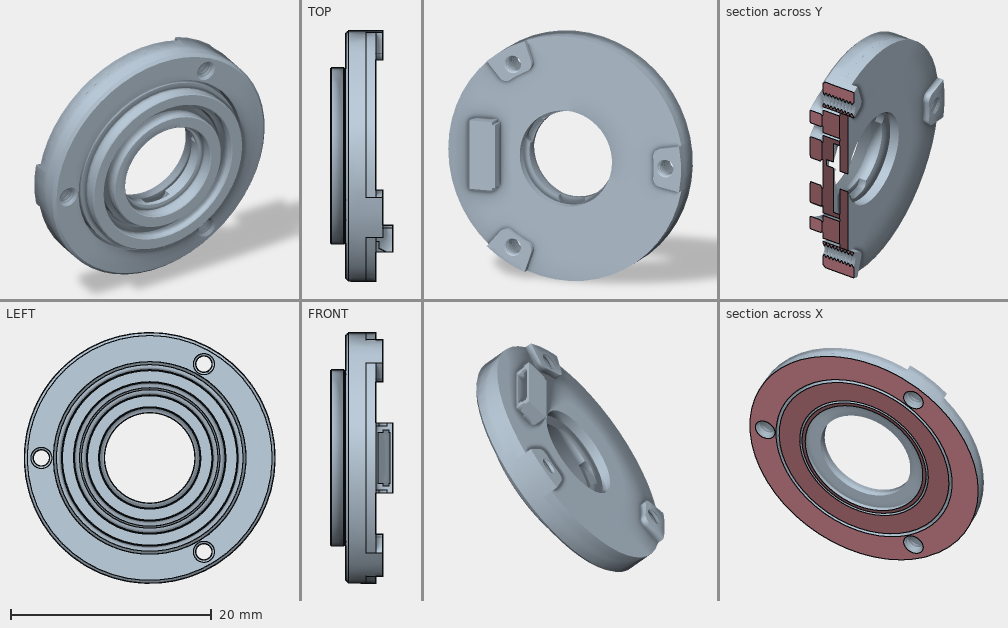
import cadquery as cq
import math

ring_front = 0.0
ring_back = 1.4
holder_front = 1.5
board_front = 3.5
board_back = 4.5
tab_back = 5.2
connector_back = 6.2

housing_radius = 12.5
housing_bore_radius = 9.6
housing_chamfer = 0.3
tab_angles = (0, 120, 240)
tab_half_angle = 10.7
tab_corner_radius = 0.8

thread_circle_radius = 10.8
thread_major_radius = 1.05
thread_minor_radius = 0.8
thread_pitch = 0.4
thread_crest_width = 0.08

ring_chamfer = 0.1
outer_ring_bore_radius = 7.5
outer_ring_radius = 8.8
inner_ring_bore_radius = 5.0
inner_ring_radius = 6.3
outer_holder_bore_radius = 7.0
outer_holder_radius = 9.3
inner_holder_bore_radius = 4.5
inner_holder_radius = 6.8

recess_front = 2.8
recess_radius = 6.4
notch_front = 2.0
notch_width = 2.85
notch_floor = 5.1
notch_corner_radius = 0.75
notch_angles = (30, 150, 270)

board_bore_radius = 4.9

connector_front_y = -9.6
connector_back_y = -6.9
connector_length = 7.0
connector_end_step = 0.3
connector_step_width = 0.3
side_cut_back_y = -8.55
side_cut_slope_y = -9.2
side_cut_inner_x = 4.8
side_cut_outer_x = 5.6
socket_depth = 2.0
socket_length = 5.1
socket_x = (4.72, 5.92)
socket_key_length = 5.55
socket_key_x = (5.2, 5.8)


def polar(radius, angle):
    """Point in the YZ plane, with the angle in degrees from +Y toward +Z."""
    return radius * math.cos(math.radians(angle)), radius * math.sin(math.radians(angle))


def tube(front, back, inner_radius, outer_radius):
    """Tube around the X axis, with its seam at +Z, clear of the tabs."""
    plane = cq.Plane(origin=(front, 0, 0), xDir=(0, 0, 1), normal=(1, 0, 0))
    return cq.Workplane(plane).circle(outer_radius).circle(inner_radius).extrude(back - front)


def box(x_range, y_range, length):
    """Box given by its X and Y ranges, centred on Z = 0."""
    return (
        cq.Workplane("XY", origin=(0, 0, -length / 2))
        .moveTo(x_range[0], y_range[0])
        .lineTo(x_range[1], y_range[0])
        .lineTo(x_range[1], y_range[1])
        .lineTo(x_range[0], y_range[1])
        .close()
        .extrude(length)
    )


def make_tab(angle):
    """Ring sector behind the flange, rounded at its two inner corners."""
    start_point = polar(housing_radius, -tab_half_angle)
    end_point = polar(housing_radius, tab_half_angle)
    inner_start = polar(housing_bore_radius, -tab_half_angle)
    inner_end = polar(housing_bore_radius, tab_half_angle)
    tab = (
        cq.Workplane("YZ", origin=(board_front, 0, 0))
        .moveTo(*inner_start)
        .lineTo(*start_point)
        .threePointArc((housing_radius, 0), end_point)
        .lineTo(*inner_end)
        .threePointArc((housing_bore_radius, 0), inner_start)
        .close()
        .extrude(tab_back - board_front)
    )
    middle_radius = (housing_bore_radius + housing_radius) / 2
    inner_corners = cq.selectors.BoxSelector(
        (board_front, 0, -housing_radius), (tab_back, middle_radius, housing_radius)
    )
    tab = tab.edges("|X").edges(inner_corners).fillet(tab_corner_radius)
    return tab.rotate((0, 0, 0), (1, 0, 0), angle)


def make_thread_cutter(angle):
    """Stack of V grooves at the thread pitch, filling one threaded hole."""
    groove_count = math.ceil((tab_back - holder_front) / thread_pitch)
    flank_width = (thread_pitch - thread_crest_width) / 2
    cutter_back = holder_front + groove_count * thread_pitch
    profile = cq.Workplane("XY").moveTo(holder_front, 0).lineTo(holder_front, thread_major_radius)
    for groove in range(groove_count):
        groove_start = holder_front + groove * thread_pitch
        profile = profile.lineTo(groove_start + flank_width, thread_minor_radius)
        profile = profile.lineTo(groove_start + flank_width + thread_crest_width, thread_minor_radius)
        profile = profile.lineTo(groove_start + thread_pitch, thread_major_radius)
    cutter = profile.lineTo(cutter_back, 0).close().revolve(360, (0, 0, 0), (1, 0, 0))
    return cutter.translate((0, *polar(thread_circle_radius, angle)))


def make_housing():
    """Flange with its three tabs and their threaded holes."""
    flange = tube(holder_front, board_front, housing_bore_radius, housing_radius)
    outer_rim = cq.selectors.RadiusNthSelector(-1)
    housing = flange.faces("<X").edges(outer_rim).chamfer(housing_chamfer)
    for angle in tab_angles:
        housing = housing.union(make_tab(angle))
    for angle in tab_angles:
        housing = housing.cut(make_thread_cutter(angle))
    return housing


def make_contact_ring(bore_radius, outer_radius):
    """Contact ring with all four rims chamfered."""
    return tube(ring_front, ring_back, bore_radius, outer_radius).edges().chamfer(ring_chamfer)


def make_ring_seat(ring_bore_radius, ring_radius):
    """Low land that carries the flat back face of a contact ring."""
    return tube(ring_back, board_front, ring_bore_radius + ring_chamfer, ring_radius - ring_chamfer)


def make_outer_holder():
    """Insulating sleeve under the outer contact ring."""
    sleeve = tube(holder_front, board_front, outer_holder_bore_radius, outer_holder_radius)
    return sleeve.union(make_ring_seat(outer_ring_bore_radius, outer_ring_radius))


def make_inner_holder():
    """Insulating sleeve under the inner contact ring, recessed and notched from behind."""
    sleeve = tube(holder_front, board_front, inner_holder_bore_radius, inner_holder_radius)
    holder = sleeve.union(make_ring_seat(inner_ring_bore_radius, inner_ring_radius))
    recess = cq.Workplane("YZ", origin=(recess_front, 0, 0)).circle(recess_radius)
    holder = holder.cut(recess.extrude(board_front - recess_front))
    notch = box((notch_front, recess_front), (0, notch_floor), notch_width)
    notch = notch.edges("|X and >Y").fillet(notch_corner_radius)
    for angle in notch_angles:
        holder = holder.cut(notch.rotate((0, 0, 0), (1, 0, 0), angle))
    return holder


def make_board():
    """Round circuit board with cutouts that fit the housing's tabs."""
    board = tube(board_front, board_back, board_bore_radius, housing_radius)
    for angle in tab_angles:
        board = board.cut(make_tab(angle))
    return board


def make_connector():
    """Board connector with a keyed socket, stepped rear ends and slanted side cuts."""
    x_range = (board_back, connector_back)
    step_y = connector_back_y - connector_step_width
    inner_length = connector_length - 2 * connector_end_step
    front_part = box(x_range, (connector_front_y, step_y), connector_length)
    connector = front_part.union(box(x_range, (step_y, connector_back_y), inner_length))

    socket_y = (connector_front_y, connector_front_y + socket_depth)
    connector = connector.cut(box(socket_x, socket_y, socket_length))
    connector = connector.cut(box(socket_key_x, socket_y, socket_key_length))

    side_cut = (
        cq.Workplane("XY", origin=(0, 0, inner_length / 2))
        .moveTo(board_back, connector_front_y)
        .lineTo(board_back, side_cut_back_y)
        .lineTo(side_cut_inner_x, side_cut_back_y)
        .lineTo(side_cut_inner_x, side_cut_slope_y)
        .lineTo(side_cut_outer_x, connector_front_y)
        .close()
        .extrude(connector_end_step)
    )
    return connector.cut(side_cut).cut(side_cut.mirror("XY"))


housing = make_housing()
outer_holder = make_outer_holder()
inner_holder = make_inner_holder()
contact_rings = [
    make_contact_ring(bore_radius, outer_radius)
    for bore_radius, outer_radius in (
        (outer_ring_bore_radius, outer_ring_radius),
        (inner_ring_bore_radius, inner_ring_radius),
    )
]
board = make_board()
connector = make_connector()

result = cq.Compound.makeCompound(
    [
        housing.val(),
        outer_holder.val(),
        inner_holder.val(),
        *[ring.val() for ring in contact_rings],
        board.val(),
        connector.val(),
    ]
)